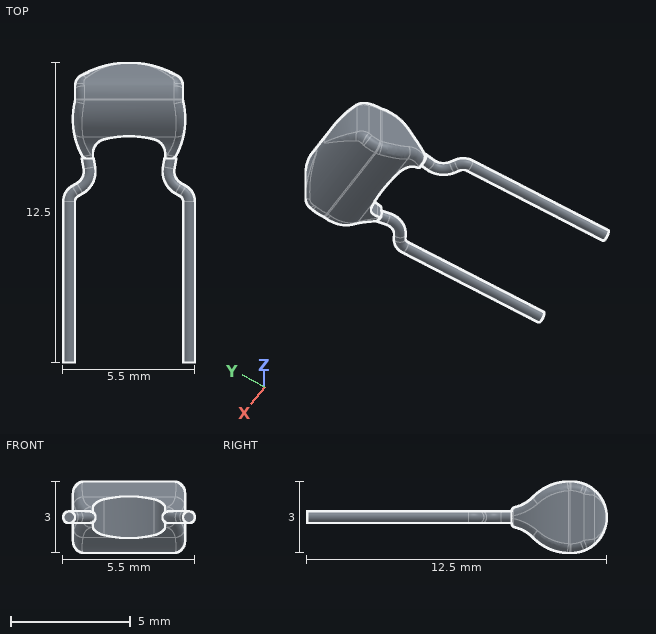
import cadquery as cq
import math


bulb_radius = 1.5
bulb_flat = 0.06
shoulder_radius = 2.12
shoulder_angle = 46.0
lip_half_height = 0.40
body_end_y = -2.48

side_half_width = 2.255
waist_half_width = 2.35
waist_y = -0.85
waist_radius = 3.2
waist_blend_radius = 0.3
kink_tolerance = 0.01
crown_radius = 4.0
crown_y = 1.51
crown_corner_radius = 0.5
edge_radius = 0.39
nose_radius = 0.18

arch_half_width = 1.5
arch_top_y = -1.565
arch_radius = 4.2
arch_corner_radius = 0.6

lead_diameter = 0.5
lead_half_pitch = 2.5
lead_tip_y = -11.0
outer_bend_y = -4.28
outer_bend_radius = 0.5
outer_bend_angle = 60.0
link_length = 0.23
inner_bend_radius = 0.82
entry_angle = 10.0
entry_overrun = 0.7

span = 10.0


def arc_point(center, radius, angle):
    """Point on a circle, angle in degrees."""
    return (
        center[0] + radius * math.cos(math.radians(angle)),
        center[1] + radius * math.sin(math.radians(angle)),
    )


def profile_prism():
    """Teardrop side profile extruded across the body."""
    shoulder = (-bulb_flat, bulb_radius - shoulder_radius)
    shoulder_mid = arc_point(shoulder, shoulder_radius, 90 + shoulder_angle / 2)
    inflection = arc_point(shoulder, shoulder_radius, 90 + shoulder_angle)

    half = (
        cq.Workplane("YZ")
        .moveTo(bulb_radius, 0)
        .threePointArc(arc_point((0, 0), bulb_radius, 45), (0, bulb_radius))
        .lineTo(-bulb_flat, bulb_radius)
        .threePointArc(shoulder_mid, inflection)
        .tangentArcPoint((body_end_y, lip_half_height), relative=False)
        .lineTo(body_end_y, 0)
        .close()
        .extrude(span / 2, both=True)
    )
    return half.union(half.mirror("XY"))


def plan_prism():
    """Barrel-shaped plan outline with a domed crown, extruded through the thickness."""
    waist_center_x = waist_half_width - waist_radius
    waist_start_y = waist_y + math.sqrt(waist_radius**2 - (side_half_width - waist_center_x) ** 2)
    end_half_width = waist_center_x + math.sqrt(waist_radius**2 - (body_end_y - waist_y) ** 2)
    crown_edge_y = crown_y - crown_radius + math.sqrt(crown_radius**2 - side_half_width**2)

    outline = (
        cq.Workplane("XY")
        .moveTo(-end_half_width, body_end_y)
        .lineTo(end_half_width, body_end_y)
        .threePointArc((waist_half_width, waist_y), (side_half_width, waist_start_y))
        .lineTo(side_half_width, crown_edge_y)
        .threePointArc((0, crown_y), (-side_half_width, crown_edge_y))
        .lineTo(-side_half_width, waist_start_y)
        .threePointArc((-waist_half_width, waist_y), (-end_half_width, body_end_y))
        .close()
        .extrude(span / 2, both=True)
        .edges("|Z").edges(">Y")
        .fillet(crown_corner_radius)
    )

    def at_kink(edge):
        return abs(edge.Center().y - waist_start_y) < kink_tolerance

    return outline.edges("|Z").filter(at_kink).fillet(waist_blend_radius)


def arch_cutter():
    """Arched gap that splits the lower body into two legs."""
    arch_edge_y = arch_top_y - arch_radius + math.sqrt(arch_radius**2 - arch_half_width**2)
    return (
        cq.Workplane("XY")
        .moveTo(-arch_half_width, -span)
        .lineTo(arch_half_width, -span)
        .lineTo(arch_half_width, arch_edge_y)
        .threePointArc((0, arch_top_y), (-arch_half_width, arch_edge_y))
        .close()
        .extrude(span / 2, both=True)
        .edges("|Z").edges(">Y")
        .fillet(arch_corner_radius)
    )


def rim_edges(body):
    """Edges where the teardrop surface meets the side and crown walls."""
    straight_edges = body.edges("|Z or |X").vals()
    return body.edges().filter(lambda edge: not any(edge.isSame(other) for other in straight_edges))


def make_body():
    """Coated body with rounded rims and two legs that end flush with the leads."""
    body = profile_prism().intersect(plan_prism())
    body = rim_edges(body).fillet(edge_radius)
    body = body.faces("<Y").edges().fillet(nose_radius)
    return body.cut(arch_cutter())


def make_lead():
    """Kinked wire lead on the +X side, trimmed flush with the end of the body leg."""
    turn = outer_bend_angle + entry_angle
    outer_center = (lead_half_pitch - outer_bend_radius, outer_bend_y)
    link_start = arc_point(outer_center, outer_bend_radius, outer_bend_angle)
    link_direction = 90 + outer_bend_angle
    link_end = arc_point(link_start, link_length, link_direction)
    inner_center = arc_point(link_end, inner_bend_radius, outer_bend_angle)
    inner_mid = arc_point(inner_center, inner_bend_radius, 180 + outer_bend_angle - turn / 2)
    entry_start = arc_point(inner_center, inner_bend_radius, 180 - entry_angle)
    entry_end = arc_point(entry_start, entry_overrun, 90 - entry_angle)

    path = (
        cq.Workplane("XY")
        .moveTo(lead_half_pitch, lead_tip_y)
        .lineTo(lead_half_pitch, outer_bend_y)
        .threePointArc(arc_point(outer_center, outer_bend_radius, outer_bend_angle / 2), link_start)
        .lineTo(*link_end)
        .threePointArc(inner_mid, entry_start)
        .lineTo(*entry_end)
    )
    wire = (
        cq.Workplane("XZ", origin=(lead_half_pitch, lead_tip_y, 0))
        .circle(lead_diameter / 2)
        .sweep(path)
    )
    trim = cq.Workplane("XY").box(span, span, span).translate((0, body_end_y + span / 2, 0))
    return wire.cut(trim)


body = make_body()
right_lead = make_lead()
left_lead = right_lead.mirror("YZ")
result = cq.Compound.makeCompound([body.val(), right_lead.val(), left_lead.val()])